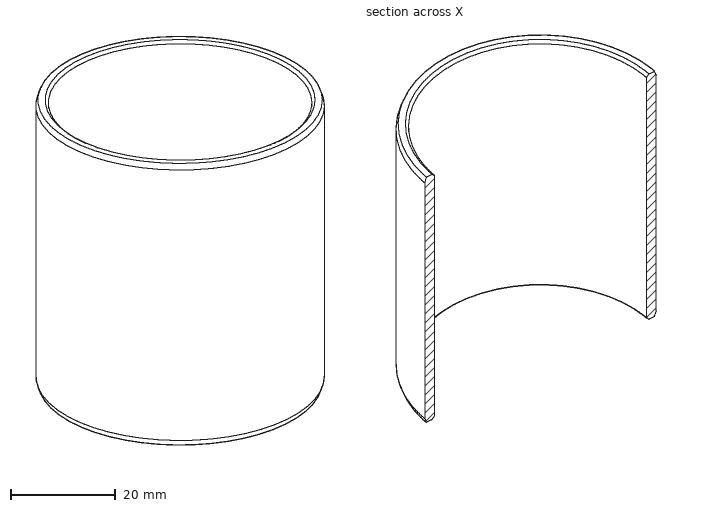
import cadquery as cq

length = 60.0
outer_diameter = 55.0
bore_diameter = 50.2

outer_chamfer_length = 1.2
outer_chamfer_depth = 0.4
bore_chamfer = 0.6

outer_radius = outer_diameter / 2
bore_radius = bore_diameter / 2
half_length = length / 2

upper_half_section = [
    (outer_radius, half_length - outer_chamfer_length),
    (outer_radius - outer_chamfer_depth, half_length),
    (bore_radius + bore_chamfer, half_length),
    (bore_radius, half_length - bore_chamfer),
]
lower_half_section = [(radius, -height) for radius, height in reversed(upper_half_section)]

result = (
    cq.Workplane("XZ")
    .polyline(upper_half_section + lower_half_section)
    .close()
    .revolve(360, (0, 0, 0), (0, 1, 0))
)